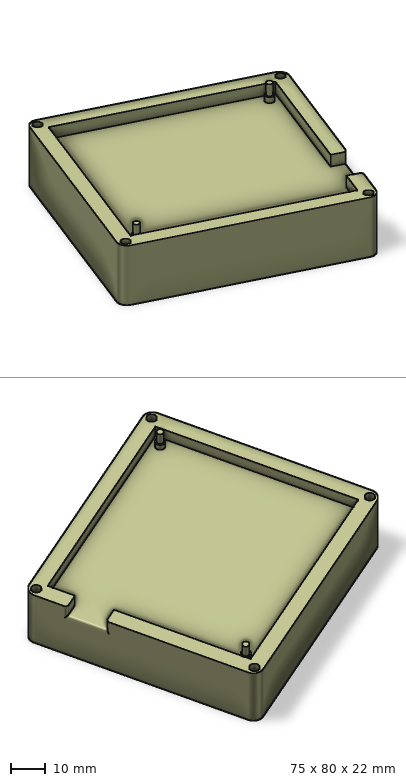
import cadquery as cq

length_y = 80.0
width_x = 75.0
body_height = 20.0
corner_radius = 3.2

wall = 5.0
tray_depth = 4.0
tray_floor = body_height - tray_depth

opening_width = 12.5
opening_center_x = 17.5
opening_rounding = 1.0

screw_hole_diameter = 3.0
screw_hole_depth = 8.0
screw_hole_inset = 2.6

pin_diameter = 2.1
pin_height = 6.0
shoulder_diameter = 3.0
shoulder_height = 2.0
pin_inset = 8.0


def make_body():
    """Solid block with rounded vertical corners."""
    block = cq.Workplane("XY").box(width_x, length_y, body_height, centered=(True, True, False))
    return block.edges("|Z").fillet(corner_radius)


def make_tray():
    """Volume removed inside the rim."""
    return (
        cq.Workplane("XY", origin=(0, 0, tray_floor))
        .rect(width_x - 2 * wall, length_y - 2 * wall)
        .extrude(tray_depth)
    )


def make_opening():
    """Volume removed from the +Y wall, flush with the tray floor."""
    return (
        cq.Workplane("XY", origin=(opening_center_x, length_y / 2 - wall / 2, tray_floor))
        .rect(opening_width, wall)
        .extrude(tray_depth)
    )


def round_opening_mouth(body):
    """Round the two side edges and the floor edge where the opening meets the outer face."""
    half = opening_width / 2
    edge_points = [
        (opening_center_x - half, length_y / 2, body_height - tray_depth / 2),
        (opening_center_x + half, length_y / 2, body_height - tray_depth / 2),
        (opening_center_x, length_y / 2, tray_floor),
    ]
    mouth_edges = body.newObject([])
    for point in edge_points:
        mouth_edges = mouth_edges.add(body.edges(cq.NearestToPointSelector(point)))
    return mouth_edges.fillet(opening_rounding)


def make_screw_holes():
    """Blind holes at the four corners of the rim."""
    return (
        cq.Workplane("XY", origin=(0, 0, body_height))
        .rect(width_x - 2 * screw_hole_inset, length_y - 2 * screw_hole_inset, forConstruction=True)
        .vertices()
        .circle(screw_hole_diameter / 2)
        .extrude(-screw_hole_depth)
    )


def make_pin(x, y):
    """Locating pin with a wider shoulder at its foot."""
    foot = cq.Workplane("XY", origin=(x, y, tray_floor))
    shoulder = foot.circle(shoulder_diameter / 2).extrude(shoulder_height)
    return shoulder.union(foot.circle(pin_diameter / 2).extrude(pin_height))


result = make_body().cut(make_tray()).cut(make_opening())
result = round_opening_mouth(result)
result = result.cut(make_screw_holes())

pin_x = width_x / 2 - pin_inset
pin_y = length_y / 2 - pin_inset
for side in (-1, 1):
    result = result.union(make_pin(side * pin_x, -side * pin_y))